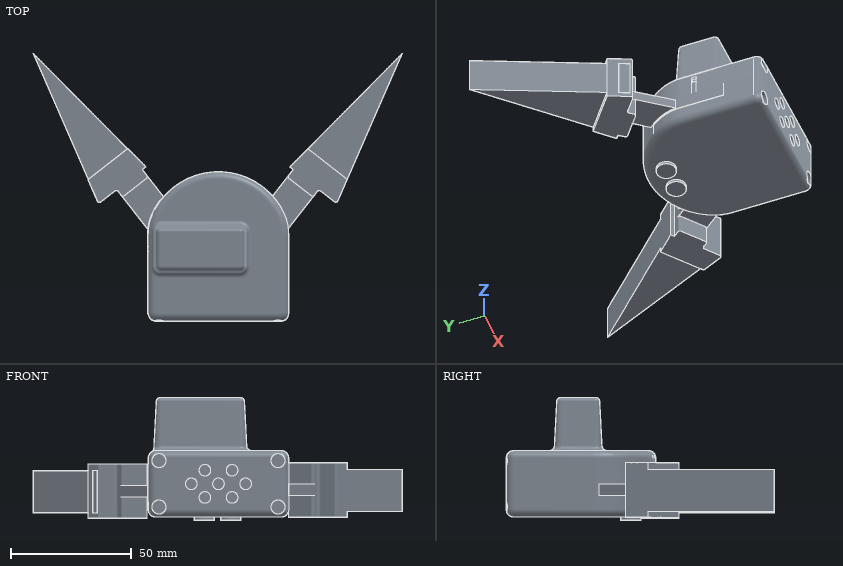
import cadquery as cq
import math

BODY_WIDTH = 58.2
BODY_LENGTH = 62.0
BODY_HEIGHT = 27.6
NOSE_RADIUS = 30.0
SHOULDER_RADIUS = 20.0
FRONT_EDGE_RADIUS = 3.3
RIM_RADIUS = 3.1
HOUSING_X = 0.3

PARTING_Z = 14.7
SKIN_PROUD = 0.25
SKIN_REAR = 50.0
BAND_BOTTOM = 7.8
BAND_FRONT = 16.7
STRIP_INSET = 2.0

TOWER_CENTER = (-7.5, 29.8)
TOWER_FLAT_LENGTH = 32.7
TOWER_FLAT_WIDTH = 14.0
TOWER_HEIGHT = 22.0
TOWER_TAPER = 3.0
TOWER_BASE_CORNER = 3.0
TOWER_TOP_RADIUS = 1.8
TOWER_FOOT_RADIUS = 2.0
FOOT_EDGE_MARGIN = 0.1

VENT_DIAMETER = 4.8
VENT_PITCH = 11.25
VENT_DEPTH = 5.0
SCREW_DIAMETER = 5.8
SCREW_SPACING_X = 49.3
SCREW_SPACING_Z = 19.2
SCREW_DEPTH = 2.0

SIDE_POCKET_Y = 30.0
SIDE_POCKET_WIDTH = 2.0
SIDE_POCKET_BOTTOM = 20.9
SIDE_POCKET_HEIGHT = 3.0
SIDE_POCKET_DEPTH = 1.25
FOOT_DIAMETER = 8.4
FOOT_HEIGHT = 1.3
FOOT_SPACING = 11.0
FEET_CENTER = (-0.4, 51.6)

ARM_ANGLE = 52.0
TIP_X = 76.43
TIP_Y = 110.96
STEM_THICKNESS = 4.75
STEM_INNER = -14.1
STEM_OUTER = -0.6
STEM_START = 45.0
CLAMP_START = 64.8
CLAMP_STEP = 68.7
CLAMP_END = 79.3
CLAMP_HEIGHT = 22.6
CLAMP_EDGE_RADIUS = 1.0
WEDGE_INNER = -14.6
WEDGE_OUTER = 6.1
CLAMP_OUTSET = 0.15
WINDOW_START = 70.1
WINDOW_END = 74.6
WEDGE_HEIGHT = 17.5
WEDGE_DROP = 0.25
LEFT_ARM_Z = 10.8
RIGHT_ARM_Z = 11.25


def body_outline(plane_z=0.0):
    half = BODY_WIDTH / 2
    nose_y = BODY_LENGTH - NOSE_RADIUS
    shoulder_x = half - SHOULDER_RADIUS
    center_gap = NOSE_RADIUS - SHOULDER_RADIUS
    shoulder_y = nose_y + math.sqrt(center_gap**2 - shoulder_x**2)
    seam_angle = math.atan2(shoulder_y - nose_y, shoulder_x)
    seam_x = NOSE_RADIUS * math.cos(seam_angle)
    seam_y = nose_y + NOSE_RADIUS * math.sin(seam_angle)
    mid_x = shoulder_x + SHOULDER_RADIUS * math.cos(seam_angle / 2)
    mid_y = shoulder_y + SHOULDER_RADIUS * math.sin(seam_angle / 2)
    return (
        cq.Workplane("XY", origin=(0, 0, plane_z))
        .moveTo(-half, 0)
        .lineTo(half, 0)
        .lineTo(half, shoulder_y)
        .threePointArc((mid_x, mid_y), (seam_x, seam_y))
        .threePointArc((0, BODY_LENGTH), (-seam_x, seam_y))
        .threePointArc((-mid_x, mid_y), (-half, shoulder_y))
        .close()
    )


def make_body():
    body = body_outline().extrude(BODY_HEIGHT)
    body = body.edges("|Z and <Y").fillet(FRONT_EDGE_RADIUS)
    return body.faces("<Z or >Z").edges().fillet(RIM_RADIUS)


def side_zone(front_y):
    return cq.Workplane("XY").box(
        BODY_WIDTH, SKIN_REAR - front_y, BODY_HEIGHT, centered=False
    ).translate((-BODY_WIDTH, front_y, 0))


def skin_half(height):
    taper = math.degrees(math.atan(SKIN_PROUD / abs(height)))
    outline = body_outline(PARTING_Z).offset2D(SKIN_PROUD)
    return outline.extrude(height, taper=taper).intersect(side_zone(FRONT_EDGE_RADIUS))


def make_side_skin():
    upper = skin_half(BODY_HEIGHT - RIM_RADIUS - PARTING_Z)
    lower = skin_half(RIM_RADIUS - PARTING_Z)
    band = body_outline(BAND_BOTTOM).offset2D(SKIN_PROUD).extrude(PARTING_Z - BAND_BOTTOM)
    band = band.intersect(side_zone(BAND_FRONT))
    strip = cq.Workplane("XY").box(
        STRIP_INSET, SIDE_POCKET_WIDTH, SIDE_POCKET_BOTTOM - PARTING_Z, centered=(False, True, False)
    ).translate((-BODY_WIDTH / 2 - SKIN_PROUD, SIDE_POCKET_Y, PARTING_Z))
    return upper.union(lower).union(band).union(strip)


def make_tower():
    root_z = BODY_HEIGHT / 2
    root_depth = BODY_HEIGHT - root_z
    root_corner = TOWER_BASE_CORNER + root_depth * math.tan(math.radians(TOWER_TAPER))
    tower = (
        cq.Workplane("XY", origin=(*TOWER_CENTER, root_z))
        .sketch()
        .rect(TOWER_FLAT_LENGTH + 2 * root_corner, TOWER_FLAT_WIDTH + 2 * root_corner)
        .vertices()
        .fillet(root_corner)
        .finalize()
        .extrude(root_depth + TOWER_HEIGHT, taper=TOWER_TAPER)
    )
    return tower.faces(">Z").edges().fillet(TOWER_TOP_RADIUS)


def add_tower(body):
    joined = body.union(make_tower())
    base_corner = TOWER_BASE_CORNER + FOOT_EDGE_MARGIN
    reach_x = TOWER_FLAT_LENGTH / 2 + base_corner
    reach_y = TOWER_FLAT_WIDTH / 2 + base_corner
    center_x, center_y = TOWER_CENTER
    foot_slab = cq.selectors.BoxSelector(
        (center_x - reach_x, center_y - reach_y, BODY_HEIGHT - RIM_RADIUS / 2),
        (center_x + reach_x, center_y + reach_y, BODY_HEIGHT + FOOT_EDGE_MARGIN),
        boundingbox=True,
    )
    return joined.edges(foot_slab).fillet(TOWER_FOOT_RADIUS)


def front_holes(points, diameter, depth):
    return (
        cq.Workplane("XZ", origin=(0, 0, BODY_HEIGHT / 2))
        .pushPoints(points)
        .circle(diameter / 2)
        .extrude(-depth)
    )


def make_vents():
    points = [(column * VENT_PITCH, 0) for column in (-1, 0, 1)]
    half = VENT_PITCH / 2
    points += [(x, z) for x in (-half, half) for z in (-half, half)]
    return front_holes(points, VENT_DIAMETER, VENT_DEPTH)


def make_screw_recesses():
    half_x = SCREW_SPACING_X / 2
    half_z = SCREW_SPACING_Z / 2
    points = [(x, z) for x in (-half_x, half_x) for z in (-half_z, half_z)]
    return front_holes(points, SCREW_DIAMETER, SCREW_DEPTH)


def make_side_pocket():
    return cq.Workplane("XY").box(
        SIDE_POCKET_DEPTH, SIDE_POCKET_WIDTH, SIDE_POCKET_HEIGHT, centered=(False, True, False)
    ).translate((-BODY_WIDTH / 2 - SKIN_PROUD, SIDE_POCKET_Y, SIDE_POCKET_BOTTOM))


def make_feet():
    center_x, center_y = FEET_CENTER
    points = [(center_x + side * FOOT_SPACING / 2, center_y) for side in (-1, 1)]
    return (
        cq.Workplane("XY", origin=(0, 0, -FOOT_HEIGHT))
        .pushPoints(points)
        .circle(FOOT_DIAMETER / 2)
        .extrude(FOOT_HEIGHT + RIM_RADIUS)
    )


def arm_plane(z):
    angle = math.radians(ARM_ANGLE)
    along = (-math.cos(angle), math.sin(angle), 0)
    return cq.Plane(origin=(0, 0, z), xDir=along, normal=(0, 0, 1))


def blade_tip():
    angle = math.radians(ARM_ANGLE)
    along = TIP_X * math.cos(angle) + TIP_Y * math.sin(angle)
    across = TIP_X * math.sin(angle) - TIP_Y * math.cos(angle)
    return along, across


def along_blade_edge(along, across_at_clamp, outset=0.0):
    tip_along, tip_across = blade_tip()
    ratio = (tip_along - along) / (tip_along - CLAMP_END)
    return along, tip_across + ratio * (across_at_clamp - tip_across) + outset


def make_stem(z):
    return (
        cq.Workplane(arm_plane(z))
        .moveTo(STEM_START, STEM_INNER)
        .lineTo(CLAMP_STEP, STEM_INNER)
        .lineTo(CLAMP_STEP, STEM_OUTER)
        .lineTo(STEM_START, STEM_OUTER)
        .close()
        .extrude(STEM_THICKNESS / 2, both=True)
    )


def make_clamp(z, outset):
    profile = [
        (CLAMP_START, STEM_INNER),
        (CLAMP_START, STEM_OUTER),
        (CLAMP_STEP, STEM_OUTER),
        along_blade_edge(CLAMP_STEP, WEDGE_OUTER, outset),
        along_blade_edge(CLAMP_END, WEDGE_OUTER, outset),
        along_blade_edge(CLAMP_END, WEDGE_INNER, -outset),
        along_blade_edge(CLAMP_STEP, WEDGE_INNER, -outset),
        (CLAMP_STEP, STEM_INNER),
    ]
    clamp = cq.Workplane(arm_plane(z)).polyline(profile).close().extrude(CLAMP_HEIGHT / 2, both=True)
    for corner in profile[:4]:
        edge_middle = arm_plane(z).toWorldCoords(corner)
        nearest = cq.selectors.NearestToPointSelector(edge_middle)
        clamp = clamp.edges(nearest).fillet(CLAMP_EDGE_RADIUS)
    return clamp


def make_blade(z):
    return (
        cq.Workplane(arm_plane(z - WEDGE_DROP))
        .polyline([(CLAMP_END, WEDGE_OUTER), (CLAMP_END, WEDGE_INNER), blade_tip()])
        .close()
        .extrude(WEDGE_HEIGHT / 2, both=True)
    )


def make_window(z):
    above = 2 * CLAMP_OUTSET
    return (
        cq.Workplane(arm_plane(z - WEDGE_DROP))
        .polyline([
            along_blade_edge(WINDOW_START, WEDGE_OUTER),
            along_blade_edge(WINDOW_END, WEDGE_OUTER),
            along_blade_edge(WINDOW_END, WEDGE_OUTER, above),
            along_blade_edge(WINDOW_START, WEDGE_OUTER, above),
        ])
        .close()
        .extrude(WEDGE_HEIGHT / 2, both=True)
    )


def make_arm(z, clamp):
    return make_stem(z).union(clamp).union(make_blade(z))


left_clamp = make_clamp(LEFT_ARM_Z, CLAMP_OUTSET).cut(make_window(LEFT_ARM_Z))
left_arm = make_arm(LEFT_ARM_Z, left_clamp)
right_clamp = make_clamp(RIGHT_ARM_Z, 0.0)
right_arm = make_arm(RIGHT_ARM_Z, right_clamp).mirror("YZ")

result = add_tower(make_body()).union(make_side_skin())
result = result.cut(make_vents()).cut(make_screw_recesses()).cut(make_side_pocket())
result = result.union(make_feet()).translate((HOUSING_X, 0, 0))
result = result.union(left_arm).union(right_arm)